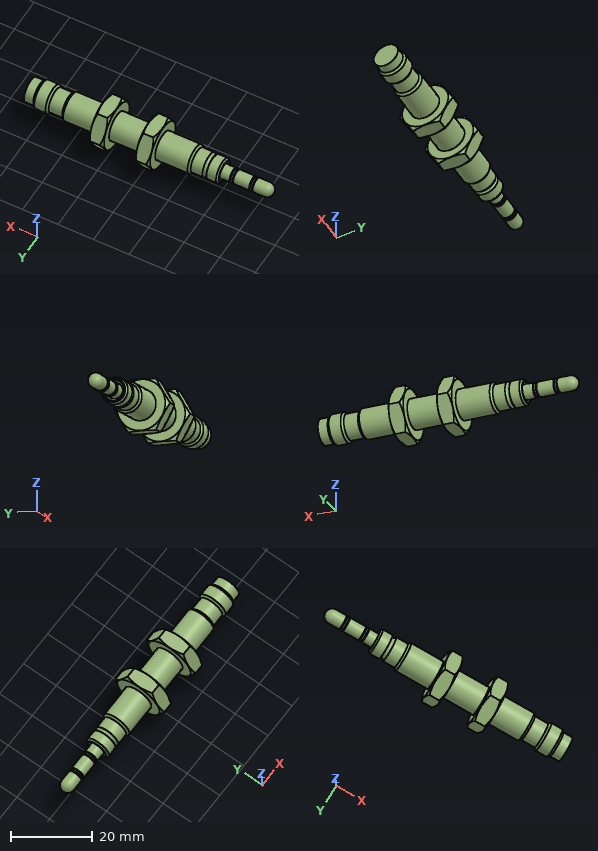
import cadquery as cq
import math

total_length = 68.6

probe_radius = 2.0
probe_end = 22.2

mark_spacing = 5.5
mark_count = 2
mark_width = 1.0
mark_groove_width = 0.25
mark_groove_depth = mark_groove_width / 2
cutter_clearance = 0.35

nose_start = 14.0
nose_radius = 3.4
nose_chamfer = 0.5
mouth_radius = 2.6
mouth_depth = mouth_radius - probe_radius
nose_groove_centre = 17.75
nose_groove_radius = 0.55

barrel_start = 22.2
barrel_end = 57.2
barrel_radius = 4.0
collar_start = 62.2
collar_end = 65.35
shoulder_length = 0.6

nut_starts = [31.35, 44.3]
nut_thickness = 4.0
nut_across_flats = 13.0
nut_corner_radius = nut_across_flats / math.sqrt(3)
nut_face_radius = 6.45
nut_chamfer_angle = 30.0
nut_chamfer_length = (nut_corner_radius - nut_face_radius) * math.tan(math.radians(nut_chamfer_angle))


def revolve_about_x(outline):
    """Turn a closed outline, drawn as (x, radius), into a solid about the X axis."""
    return outline.revolve(360, (0, 0, 0), (1, 0, 0))


def make_v_groove(centre):
    """Ring-shaped cutter for one V-groove in the probe."""
    half_width = mark_groove_width / 2
    outer = probe_radius + cutter_clearance
    outline = (
        cq.Workplane("XY")
        .moveTo(centre - half_width, outer)
        .lineTo(centre - half_width, probe_radius)
        .lineTo(centre, probe_radius - mark_groove_depth)
        .lineTo(centre + half_width, probe_radius)
        .lineTo(centre + half_width, outer)
        .close()
    )
    return revolve_about_x(outline)


def make_probe():
    tip_mid_x = probe_radius * (1 - math.sqrt(0.5))
    tip_mid_radius = probe_radius * math.sqrt(0.5)
    outline = (
        cq.Workplane("XY")
        .threePointArc((tip_mid_x, tip_mid_radius), (probe_radius, probe_radius))
        .lineTo(probe_end, probe_radius)
        .lineTo(probe_end, 0)
        .close()
    )
    probe = revolve_about_x(outline)

    groove_offset = (mark_width - mark_groove_width) / 2
    for index in range(mark_count):
        mark_centre = mark_spacing * (index + 1)
        for side in (-1, 1):
            probe = probe.cut(make_v_groove(mark_centre + side * groove_offset))
    return probe


def make_housing():
    outline = (
        cq.Workplane("XY")
        .moveTo(nose_start, mouth_radius)
        .lineTo(nose_start, nose_radius - nose_chamfer)
        .lineTo(nose_start + nose_chamfer, nose_radius)
        .lineTo(nose_groove_centre - nose_groove_radius, nose_radius)
        .threePointArc(
            (nose_groove_centre, nose_radius - nose_groove_radius),
            (nose_groove_centre + nose_groove_radius, nose_radius),
        )
        .lineTo(barrel_start - shoulder_length, nose_radius)
        .lineTo(barrel_start, barrel_radius)
        .lineTo(barrel_end, barrel_radius)
        .lineTo(barrel_end + shoulder_length, nose_radius)
        .lineTo(collar_start - shoulder_length, nose_radius)
        .lineTo(collar_start, barrel_radius)
        .lineTo(collar_end, barrel_radius)
        .lineTo(collar_end + shoulder_length, nose_radius)
        .lineTo(total_length, nose_radius)
        .lineTo(total_length, 0)
        .lineTo(probe_end, 0)
        .lineTo(probe_end, probe_radius)
        .lineTo(nose_start + mouth_depth, probe_radius)
        .close()
    )
    return revolve_about_x(outline)


def make_nut(start):
    """Hexagon nut with corners along Y, both faces chamfered and bored to the barrel."""
    end = start + nut_thickness
    hexagon = (
        cq.Workplane("YZ")
        .workplane(offset=start)
        .polygon(6, 2 * nut_corner_radius)
        .extrude(nut_thickness)
    )
    turned_outline = (
        cq.Workplane("XY")
        .moveTo(start, barrel_radius)
        .lineTo(start, nut_face_radius)
        .lineTo(start + nut_chamfer_length, nut_corner_radius)
        .lineTo(end - nut_chamfer_length, nut_corner_radius)
        .lineTo(end, nut_face_radius)
        .lineTo(end, barrel_radius)
        .close()
    )
    return hexagon.intersect(revolve_about_x(turned_outline))


probe = make_probe()
housing = make_housing()
nuts = [make_nut(start) for start in nut_starts]

result = cq.Compound.makeCompound([probe.val(), housing.val(), *[nut.val() for nut in nuts]])